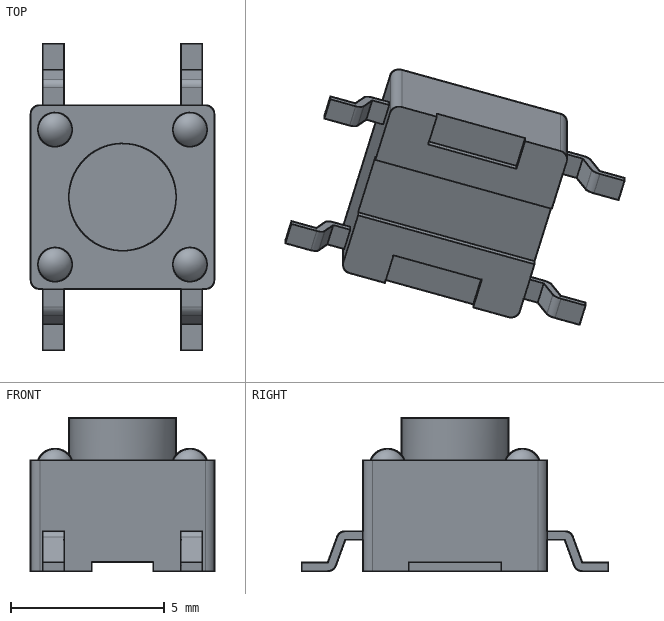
import cadquery as cq
import math

body_side = 6.0
body_height = 3.62
corner_radius = 0.3

total_height = 5.0
button_radius = 1.75
dome_radius = 0.6
dome_center_height = 3.4
dome_offset = 2.2

recess_height = 0.3
channel_width = 2.0
side_recess_width = 3.0
side_recess_depth = 1.0

terminal_span = 10.0
terminal_width = 0.7
terminal_thickness = 0.29
terminal_offset = 2.25
shoulder_underside = 1.02
foot_length = 0.85
terminal_tilt = math.radians(20)


def make_housing():
    housing = cq.Workplane("XY").box(body_side, body_side, body_height, centered=(True, True, False))
    housing = housing.edges("|Z").fillet(corner_radius)
    channel = cq.Workplane("XY").box(channel_width, body_side, recess_height, centered=(True, True, False))
    housing = housing.cut(channel)
    recess_center = (body_side - side_recess_depth) / 2
    side_recesses = (
        cq.Workplane("XY")
        .pushPoints([(-recess_center, 0), (recess_center, 0)])
        .rect(side_recess_depth, side_recess_width)
        .extrude(recess_height)
    )
    return housing.cut(side_recesses)


def make_button():
    button_height = total_height - body_height
    return cq.Workplane("XY").workplane(offset=body_height).circle(button_radius).extrude(button_height)


def make_domes():
    return (
        cq.Workplane("XY")
        .workplane(offset=dome_center_height)
        .rect(2 * dome_offset, 2 * dome_offset, forConstruction=True)
        .vertices()
        .sphere(dome_radius)
    )


def make_terminal(x_center):
    """Terminal leaving the +Y wall; each outer bend is an arc about its sharp inner corner."""
    t = terminal_thickness
    wall = body_side / 2
    tip = terminal_span / 2
    foot_y = tip - foot_length
    foot_z = t
    rise = shoulder_underside - foot_z
    shoulder_y = foot_y - (t + rise * math.sin(terminal_tilt)) / math.cos(terminal_tilt)
    shoulder_z = shoulder_underside

    def around(y, z, angle, side):
        return (y + side * t * math.cos(angle), z + side * t * math.sin(angle))

    middle_angle = (terminal_tilt + math.pi / 2) / 2
    profile = (
        cq.Workplane("YZ")
        .workplane(offset=x_center - terminal_width / 2)
        .moveTo(wall, shoulder_z)
        .lineTo(wall, shoulder_z + t)
        .lineTo(shoulder_y, shoulder_z + t)
        .threePointArc(
            around(shoulder_y, shoulder_z, middle_angle, 1),
            around(shoulder_y, shoulder_z, terminal_tilt, 1),
        )
        .lineTo(foot_y, foot_z)
        .lineTo(tip, foot_z)
        .lineTo(tip, 0)
        .lineTo(foot_y, 0)
        .threePointArc(
            around(foot_y, foot_z, middle_angle, -1),
            around(foot_y, foot_z, terminal_tilt, -1),
        )
        .lineTo(shoulder_y, shoulder_z)
        .close()
    )
    return profile.extrude(terminal_width)


result = make_housing().union(make_button()).union(make_domes())
for x_center in (-terminal_offset, terminal_offset):
    terminal = make_terminal(x_center)
    result = result.union(terminal).union(terminal.mirror("XZ"))